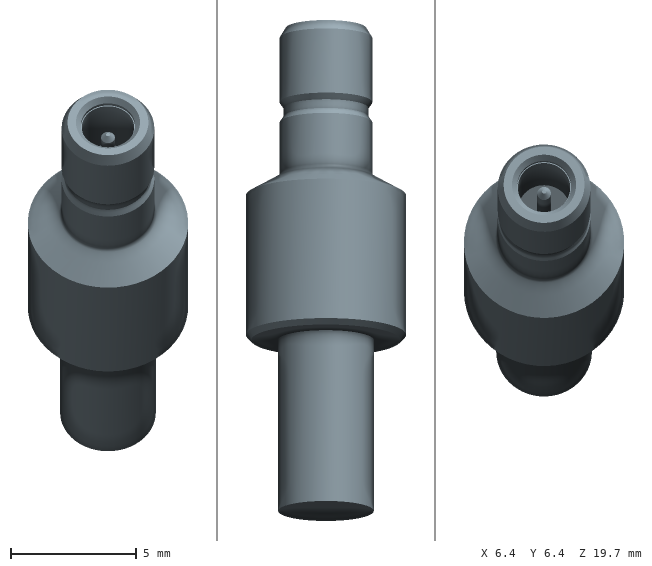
import cadquery as cq
import math

total_height = 19.7
barrel_bottom = 6.97
shoulder_bottom = 12.88
groove_bottom = 15.85
groove_top = 16.69

tail_radius = 1.91
barrel_radius = 3.201
neck_radius = 1.85
groove_radius = 1.7
barrel_chamfer = 0.22
groove_flank_height = 0.24
tip_radius = 1.62
tip_chamfer_height = 0.4

shoulder_angle = math.radians(30)
shoulder_fillet = 0.2

mouth_radius = 1.28
mouth_chamfer = 0.2
socket_entry_radius = 1.08
socket_entry_depth = 0.33
socket_radius = 1.05
socket_depth = 2.95

pin_radius = 0.28
pin_tip_radius = 0.08
pin_tip_height = 0.2
pin_tip_depth = 0.83
pin_seat_depth = 0.98

pin_bottom = total_height - socket_depth - pin_seat_depth
pin_top = total_height - pin_tip_depth


def cylinder(radius, bottom, top):
    """Cylinder on the Z axis between two heights."""
    return cq.Workplane("XY").workplane(offset=bottom).circle(radius).extrude(top - bottom)


def revolve_about_z(profile):
    """Revolve a closed profile, drawn as radius and height, about the Z axis."""
    return profile.close().revolve(360, (0, 0, 0), (0, 1, 0))


def make_outer_shape():
    """Tail, chamfered barrel, conical shoulder and grooved neck."""
    fillet_turn = math.pi / 2 - shoulder_angle
    cone_top_radius = neck_radius + shoulder_fillet * (1 - math.cos(fillet_turn))
    cone_top = shoulder_bottom + (barrel_radius - cone_top_radius) * math.tan(shoulder_angle)
    fillet_top = cone_top + shoulder_fillet * math.sin(fillet_turn)
    fillet_middle = (
        neck_radius + shoulder_fillet * (1 - math.cos(fillet_turn / 2)),
        fillet_top - shoulder_fillet * math.sin(fillet_turn / 2),
    )

    profile = (
        cq.Workplane("XZ")
        .moveTo(0, 0)
        .lineTo(tail_radius, 0)
        .lineTo(tail_radius, barrel_bottom)
        .lineTo(barrel_radius - barrel_chamfer, barrel_bottom)
        .lineTo(barrel_radius, barrel_bottom + barrel_chamfer)
        .lineTo(barrel_radius, shoulder_bottom)
        .lineTo(cone_top_radius, cone_top)
        .threePointArc(fillet_middle, (neck_radius, fillet_top))
        .lineTo(neck_radius, groove_bottom)
        .lineTo(groove_radius, groove_bottom + groove_flank_height)
        .lineTo(groove_radius, groove_top - groove_flank_height)
        .lineTo(neck_radius, groove_top)
        .lineTo(neck_radius, total_height - tip_chamfer_height)
        .lineTo(tip_radius, total_height)
        .lineTo(0, total_height)
    )
    return revolve_about_z(profile)


def make_socket():
    """Cutter for the socket with its chamfered mouth and entry step."""
    entry_floor = total_height - socket_entry_depth
    socket_floor = total_height - socket_depth
    profile = (
        cq.Workplane("XZ")
        .moveTo(0, socket_floor)
        .lineTo(socket_radius, socket_floor)
        .lineTo(socket_radius, entry_floor)
        .lineTo(socket_entry_radius, entry_floor)
        .lineTo(socket_entry_radius, total_height - mouth_chamfer)
        .lineTo(mouth_radius, total_height)
        .lineTo(0, total_height)
    )
    return revolve_about_z(profile)


def make_housing():
    """Outer shape with the socket and the seat for the pin."""
    pin_seat = cylinder(pin_radius, pin_bottom, total_height - socket_depth)
    return make_outer_shape().cut(make_socket()).cut(pin_seat)


def make_pin():
    """Round contact pin with a blunt conical tip."""
    profile = (
        cq.Workplane("XZ")
        .moveTo(0, pin_bottom)
        .lineTo(pin_radius, pin_bottom)
        .lineTo(pin_radius, pin_top - pin_tip_height)
        .lineTo(pin_tip_radius, pin_top)
        .lineTo(0, pin_top)
    )
    return revolve_about_z(profile)


housing = make_housing()
pin = make_pin()

result = cq.Compound.makeCompound([housing.val(), pin.val()])